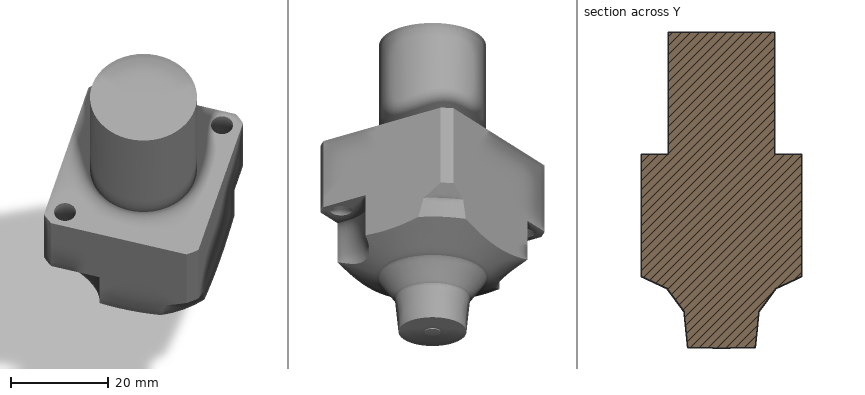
import cadquery as cq
import math

body_width = 33.0
body_depth = 37.0
corner_radius = 23.5

shank_diameter = 22.0
shank_height = 25.0

shoulder_z = -17.0
collar_top_z = -19.35
collar_bottom_z = -23.35
neck_top_z = -27.7
nose_top_z = -32.4
nose_bottom_z = -39.85
tip_z = -40.0

collar_top_radius = corner_radius - (shoulder_z - collar_top_z)
collar_bottom_radius = 20.55
cone_angle = 25.0
cone_height = collar_bottom_z - neck_top_z
neck_top_radius = collar_bottom_radius - cone_height / math.tan(math.radians(cone_angle))
nose_top_radius = 7.75
nose_bottom_radius = 7.0
tip_radius = 1.7

hole_diameter = 4.5
hole_x = 12.5
hole_y = 15.0
pocket_top_z = -15.0
pocket_radius = 10.0
pocket_center_x = 14.0
pocket_wall_y = 10.4


def make_body():
    """Turned body trimmed to a rectangular block, leaving slightly rounded corners."""
    turned = (
        cq.Workplane("XZ")
        .moveTo(0, 0)
        .lineTo(corner_radius, 0)
        .lineTo(corner_radius, shoulder_z)
        .lineTo(collar_top_radius, collar_top_z)
        .lineTo(collar_bottom_radius, collar_bottom_z)
        .lineTo(neck_top_radius, neck_top_z)
        .lineTo(nose_top_radius, nose_top_z)
        .lineTo(nose_bottom_radius, nose_bottom_z)
        .lineTo(tip_radius, nose_bottom_z)
        .lineTo(tip_radius, tip_z)
        .lineTo(0, tip_z)
        .close()
        .revolve(360, (0, 0, 0), (0, 1, 0))
    )
    block = cq.Workplane("XY").rect(body_width, body_depth).extrude(tip_z)
    return turned.intersect(block)


def make_shank():
    return cq.Workplane("XY").circle(shank_diameter / 2).extrude(shank_height)


def make_corner_cut(side):
    """Screw hole and head relief for the corner at (side, side), side being +1 or -1."""
    hole = (
        cq.Workplane("XY")
        .center(side * hole_x, side * hole_y)
        .circle(hole_diameter / 2)
        .extrude(tip_z)
    )
    floor = cq.Workplane("XY").workplane(offset=pocket_top_z)
    pocket_depth = tip_z - pocket_top_z
    round_end = (
        floor.center(side * pocket_center_x, side * (pocket_wall_y + pocket_radius))
        .circle(pocket_radius)
        .extrude(pocket_depth)
    )
    flat_end = (
        floor.moveTo(side * pocket_center_x, side * pocket_wall_y)
        .lineTo(side * body_width / 2, side * pocket_wall_y)
        .lineTo(side * body_width / 2, side * body_depth / 2)
        .lineTo(side * pocket_center_x, side * body_depth / 2)
        .close()
        .extrude(pocket_depth)
    )
    return hole.union(round_end).union(flat_end)


result = make_body().union(make_shank())
for corner_side in (1, -1):
    result = result.cut(make_corner_cut(corner_side))